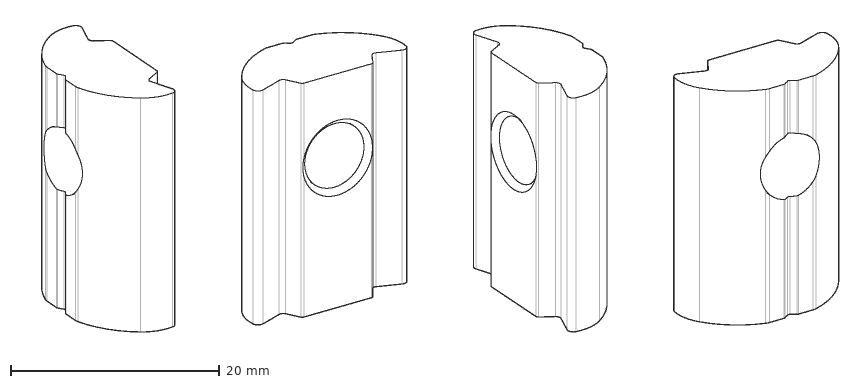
import cadquery as cq
import math

length = 25.0
half_width = 8.82
height = 8.45

half_block = 4.05
block_edge_radius = 0.3
flank_angle = math.radians(60)
wing_angle = math.radians(20)
valley_y = 6.52
valley_radius = 0.5
tip_radius = 0.62

half_flat = 2.7
main_radius = 9.72
side_radius = 4.58
side_start_x = 8.02
flat_edge_radius = 1.25

half_groove = 0.75
groove_depth = 0.5
groove_floor_radius = 0.22
groove_edge_radius = 0.25

hole_diameter = 6.8
hole_z = 16.0
mouth_diameter = 8.0

main_center_y = math.sqrt(main_radius**2 - half_flat**2)


def on_main_curve(x):
    return (x, main_center_y - math.sqrt(main_radius**2 - x**2))


side_start = on_main_curve(side_start_x)
side_center_x = half_width - side_radius
side_center_y = side_start[1] + side_radius * (main_center_y - side_start[1]) / main_radius

valley = (half_block + (height - valley_y) / math.tan(flank_angle), valley_y)
offset_x = valley[0] - side_center_x
offset_y = valley[1] - side_center_y
along = offset_x * math.cos(wing_angle) + offset_y * math.sin(wing_angle)
wing_length = -along + math.sqrt(along**2 - offset_x**2 - offset_y**2 + side_radius**2)
tip = (
    valley[0] + wing_length * math.cos(wing_angle),
    valley[1] + wing_length * math.sin(wing_angle),
)


def mirrored(point):
    return (-point[0], point[1])


def make_bar():
    main_middle = on_main_curve((half_flat + side_start_x) / 2)
    side_middle = (half_width, side_center_y)
    block_corner = (half_block, height)
    return (
        cq.Workplane("XY")
        .moveTo(0, groove_depth)
        .lineTo(half_groove, 0)
        .lineTo(half_flat, 0)
        .threePointArc(main_middle, side_start)
        .threePointArc(side_middle, tip)
        .lineTo(*valley)
        .lineTo(*block_corner)
        .lineTo(*mirrored(block_corner))
        .lineTo(*mirrored(valley))
        .lineTo(*mirrored(tip))
        .threePointArc(mirrored(side_middle), mirrored(side_start))
        .threePointArc(mirrored(main_middle), (-half_flat, 0))
        .lineTo(-half_groove, 0)
        .close()
        .extrude(length)
    )


def round_edges(bar, point, radius):
    """Round the lengthwise edge through a profile corner and its mirror image."""
    for x, y in {point, mirrored(point)}:
        edge = cq.selectors.NearestToPointSelector((x, y, length / 2))
        bar = bar.edges("|Z").edges(edge).fillet(radius)
    return bar


def make_cross_hole():
    back = cq.Workplane("XZ", origin=(0, height, hole_z))
    bore = back.circle(hole_diameter / 2).extrude(height)
    countersink_depth = (mouth_diameter - hole_diameter) / 2
    countersink = cq.Solid.makeCone(
        mouth_diameter / 2,
        hole_diameter / 2,
        countersink_depth,
        pnt=cq.Vector(0, height, hole_z),
        dir=cq.Vector(0, -1, 0),
    )
    return bore.union(cq.Workplane(countersink))


result = make_bar()
result = round_edges(result, (half_block, height), block_edge_radius)
result = round_edges(result, valley, valley_radius)
result = round_edges(result, tip, tip_radius)
result = round_edges(result, (half_flat, 0), flat_edge_radius)
result = round_edges(result, (half_groove, 0), groove_edge_radius)
result = round_edges(result, (0, groove_depth), groove_floor_radius)
result = result.cut(make_cross_hole())